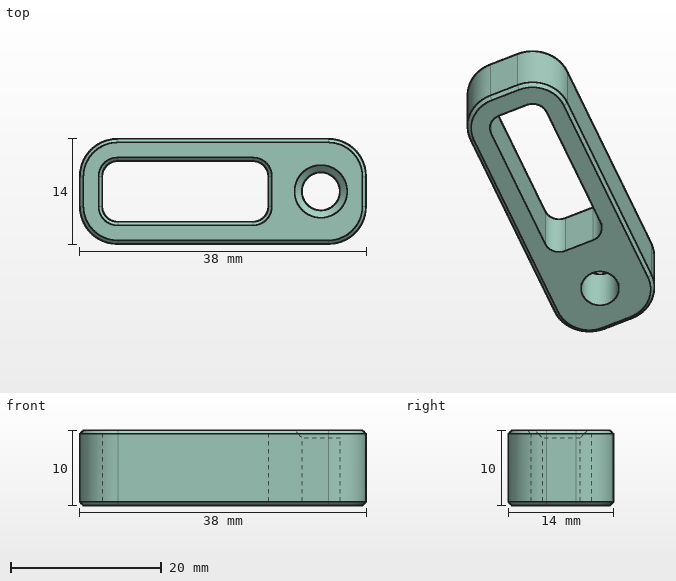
import cadquery as cq

length = 38
width = 14.0
height = 10.0
corner_radius = 5.0
edge_chamfer = 0.5

window_length = 22.0
window_width = 8.0
window_radius = 2.0
end_wall = 3.0

hole_diameter = 5.0
countersink_diameter = 7.0
countersink_angle = 90
hole_end_distance = 6.0

window_x = -length / 2 + end_wall + window_length / 2
hole_x = length / 2 - hole_end_distance


def rounded_prism(prism_length, prism_width, radius):
    """Full-height prism centred on the Z axis, with rounded vertical corners."""
    return (
        cq.Workplane("XY")
        .rect(prism_length, prism_width)
        .extrude(height)
        .edges("|Z")
        .fillet(radius)
    )


block = rounded_prism(length, width, corner_radius).faces("<Z or >Z").chamfer(edge_chamfer)

window = rounded_prism(window_length, window_width, window_radius).translate((window_x, 0, 0))
top_rim = (
    cq.Workplane("XY", origin=(window_x, 0, height - edge_chamfer))
    .placeSketch(
        cq.Sketch().rect(window_length, window_width).vertices().fillet(window_radius),
        cq.Sketch()
        .rect(window_length + 2 * edge_chamfer, window_width + 2 * edge_chamfer)
        .vertices()
        .fillet(window_radius + edge_chamfer)
        .moved(cq.Location(cq.Vector(0, 0, edge_chamfer))),
    )
    .loft()
)

result = (
    block.cut(window)
    .cut(top_rim)
    .faces(">Z")
    .workplane(origin=(hole_x, 0, height))
    .cskHole(hole_diameter, countersink_diameter, countersink_angle)
)